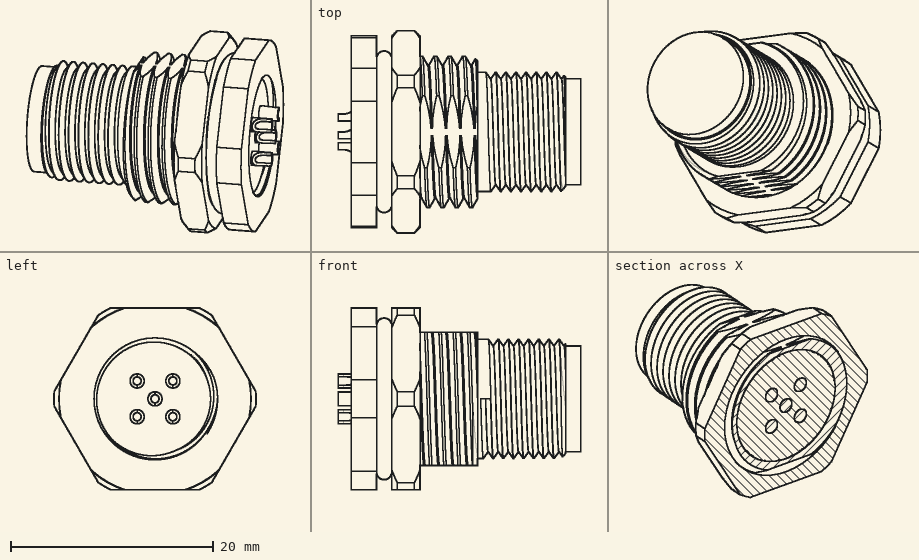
import cadquery as cq
import math


flange_end = 2.5
nut_start = 4.0
nut_length = 2.8
panel_thread_end = 12.5
mating_thread_end = 21.2
mating_end = 22.7

across_flats = 18.0
flange_corner_radius = 9.5
nut_corner_radius = 10.0
nut_chamfer = 0.55

seal_section_radius = (nut_start - flange_end) / 2
seal_seat_radius = 6.5

panel_major_radius = 7.5
panel_root_radius = 6.61
panel_pitch = 25.4 / 18
panel_crest_width = 0.25
panel_root_width = 0.14
panel_end_chamfer = 0.5
panel_groove_start = 1.97
panel_flat_distance = 13.2

mating_major_radius = 5.9
mating_root_radius = 5.25
mating_pitch = 1.0
mating_crest_width = 0.04
mating_root_width = 0.02
mating_end_chamfer = 0.5
mating_groove_start = 13.28
mating_groove_start_angle = 180.0

recess_radius = 5.5
recess_depth = 0.6
recess_mouth_radius = 6.03
recess_thread_root_radius = 6.19
recess_pitch = 1.0
recess_crest_width = 0.25
recess_root_width = 0.05
recess_groove_start = -0.97
recess_groove_start_angle = 180.0

carrier_radius = 6.0
carrier_end = nut_start + nut_length

pin_radius = 0.7
pin_rear = -1.3
pin_circle_radius = 2.5
cup_bore_radius = 0.4
cup_bore_depth = 2.5
drill_tip_angle = math.radians(118)
cup_flat_length = 0.5
cup_runout_radius = 1.5

cut_margin = 0.02


def cylinder(radius, start, end):
    """Cylinder on the connector axis."""
    return cq.Workplane("YZ", origin=(start, 0, 0)).circle(radius).extrude(end - start)


def hexagon(corner_radius, start, end):
    """Hexagonal prism with flats facing +Z and -Z and its corners turned round."""
    corner_diameter = across_flats / math.cos(math.pi / 6)
    prism = cq.Workplane("YZ", origin=(start, 0, 0)).polygon(6, corner_diameter).extrude(end - start)
    return prism.intersect(cylinder(corner_radius, start, end))


def helical_cutter(profile, pitch, start, end, start_angle):
    """Sweep a (radius, axial offset) profile along a helix around the connector axis."""
    helix_radius = profile[0][0]
    helix = cq.Wire.makeHelix(pitch, end - start, helix_radius)
    groove = cq.Workplane("XZ").polyline(profile).close().sweep(cq.Workplane(helix), isFrenet=True)
    placed = groove.val().moved(cq.Location(cq.Plane.named("YZ", origin=(start, 0, 0))))
    return cq.Workplane(placed).rotate((0, 0, 0), (1, 0, 0), start_angle)


def groove_profile(root_radius, surface_radius, root_width, mouth_width):
    """V groove whose straight flanks run from its root to slightly past a surface."""
    depth_ratio = 1 + cut_margin / abs(surface_radius - root_radius)
    outer_radius = root_radius + (surface_radius - root_radius) * depth_ratio
    half_root = root_width / 2
    half_outer = half_root + (mouth_width / 2 - half_root) * depth_ratio
    return [
        (root_radius, -half_root),
        (outer_radius, -half_outer),
        (outer_radius, half_outer),
        (root_radius, half_root),
    ]


def threaded_bar(major_radius, start, end, end_chamfer, groove, overrun):
    """Bar with its front edge chamfered; the groove is cut in a longer bar, then trimmed to length."""
    blank = cylinder(major_radius, start - overrun, end + overrun)
    trimmed = (
        cylinder(major_radius + cut_margin, start, end)
        .faces(">X")
        .chamfer(end_chamfer + cut_margin)
    )
    return blank.cut(groove).intersect(trimmed)


def panel_section():
    """Panel thread with a flat on its +Z and -Z sides."""
    profile = groove_profile(
        panel_root_radius, panel_major_radius, panel_root_width, panel_pitch - panel_crest_width
    )
    groove_end = panel_thread_end + panel_pitch
    groove = helical_cutter(profile, panel_pitch, panel_groove_start, groove_end, 0)
    bar = threaded_bar(
        panel_major_radius, nut_start, panel_thread_end, panel_end_chamfer, groove, 3 * panel_pitch
    )
    between_flats = (
        cq.Workplane("YZ", origin=(nut_start, 0, 0))
        .rect(3 * panel_major_radius, panel_flat_distance)
        .extrude(panel_thread_end - nut_start)
    )
    return bar.intersect(between_flats)


def mating_section():
    """Mating thread whose groove runs out through the front of the threaded length."""
    profile = groove_profile(
        mating_root_radius, mating_major_radius, mating_root_width, mating_pitch - mating_crest_width
    )
    groove_end = mating_thread_end + mating_pitch
    groove = helical_cutter(profile, mating_pitch, mating_groove_start, groove_end, mating_groove_start_angle)
    return threaded_bar(
        mating_major_radius, panel_thread_end, mating_thread_end, mating_end_chamfer, groove, 3 * mating_pitch
    )


def rear_recess():
    """Cutter for the recess: tapered wall and internal thread, both ending at its floor."""
    taper = (
        cq.Workplane("XY")
        .polyline([(0, 0), (0, recess_mouth_radius), (recess_depth, recess_radius), (recess_depth, 0)])
        .close()
        .revolve(360, (0, 0, 0), (1, 0, 0))
    )
    profile = groove_profile(
        recess_thread_root_radius, recess_radius, recess_root_width, recess_pitch - recess_crest_width
    )
    groove_end = recess_depth + recess_pitch
    groove = helical_cutter(profile, recess_pitch, recess_groove_start, groove_end, recess_groove_start_angle)
    groove = groove.intersect(cylinder(recess_thread_root_radius + cut_margin, 0, recess_depth))
    return taper.union(groove)


def make_housing():
    flange = hexagon(flange_corner_radius, 0, flange_end)
    seal_seat = cylinder(seal_seat_radius, flange_end, nut_start)
    front_collar = cylinder(mating_root_radius, mating_thread_end, mating_end)
    body = flange.union(seal_seat).union(panel_section()).union(mating_section()).union(front_collar)
    carrier_bore = cylinder(carrier_radius, recess_depth, carrier_end)
    return body.cut(carrier_bore).cut(rear_recess())


def make_nut():
    end = nut_start + nut_length
    face_radius = nut_corner_radius - nut_chamfer
    chamfered_disc = (
        cq.Workplane("XY")
        .polyline(
            [
                (nut_start, 0),
                (nut_start, face_radius),
                (nut_start + nut_chamfer, nut_corner_radius),
                (end - nut_chamfer, nut_corner_radius),
                (end, face_radius),
                (end, 0),
            ]
        )
        .close()
        .revolve(360, (0, 0, 0), (1, 0, 0))
    )
    thread_bore = cylinder(panel_major_radius, nut_start, end)
    return hexagon(nut_corner_radius, nut_start, end).intersect(chamfered_disc).cut(thread_bore)


def make_seal():
    """O-ring filling the gap between the flange and the nut."""
    section_centre = (flange_end + seal_section_radius, seal_seat_radius + seal_section_radius)
    return (
        cq.Workplane("XY")
        .moveTo(*section_centre)
        .circle(seal_section_radius)
        .revolve(360, (0, 0, 0), (1, 0, 0))
    )


def pin_places():
    """Centre pin and four corner pins, as (y, z, side to which the solder cup opens)."""
    offset = pin_circle_radius * math.sqrt(0.5)
    corners = [(side * offset, level * offset, side) for side in (1, -1) for level in (1, -1)]
    return [(0, 0, 1)] + corners


def make_carrier():
    pin_centres = [(y, z) for y, z, _ in pin_places()]
    pin_holes = (
        cq.Workplane("YZ", origin=(recess_depth, 0, 0))
        .pushPoints(pin_centres)
        .circle(pin_radius)
        .extrude(carrier_end - recess_depth)
    )
    return cylinder(carrier_radius, recess_depth, carrier_end).cut(pin_holes)


def make_pin(y, z, cup_side):
    """Pin with a bored rear end, half cut away and curving back to full round."""
    bore_end = pin_rear + cup_bore_depth
    bore_tip = bore_end + cup_bore_radius / math.tan(drill_tip_angle / 2)
    bore = (
        cq.Workplane("XY")
        .polyline([(pin_rear, 0), (pin_rear, cup_bore_radius), (bore_end, cup_bore_radius), (bore_tip, 0)])
        .close()
        .revolve(360, (0, 0, 0), (1, 0, 0))
    )
    flat_end = pin_rear + cup_flat_length
    runout_length = math.sqrt(cup_runout_radius**2 - (cup_runout_radius - pin_radius) ** 2)
    runout_angle = math.asin(runout_length / cup_runout_radius) / 2
    arc_middle = (
        flat_end + cup_runout_radius * math.sin(runout_angle),
        cup_runout_radius * (1 - math.cos(runout_angle)),
    )
    opening = (
        cq.Workplane("XY", origin=(0, 0, -pin_radius))
        .moveTo(pin_rear, 0)
        .lineTo(flat_end, 0)
        .threePointArc(arc_middle, (flat_end + runout_length, pin_radius))
        .lineTo(pin_rear, pin_radius)
        .close()
        .extrude(2 * pin_radius)
    )
    pin = cylinder(pin_radius, pin_rear, carrier_end).cut(bore).cut(opening)
    if cup_side < 0:
        pin = pin.rotate((0, 0, 0), (1, 0, 0), 180)
    return pin.translate((0, y, z))


housing = make_housing()
nut = make_nut()
seal = make_seal()
carrier = make_carrier()
pins = [make_pin(y, z, cup_side) for y, z, cup_side in pin_places()]

bodies = [housing, nut, seal, carrier, *pins]
result = cq.Compound.makeCompound([body.solids().val() for body in bodies])